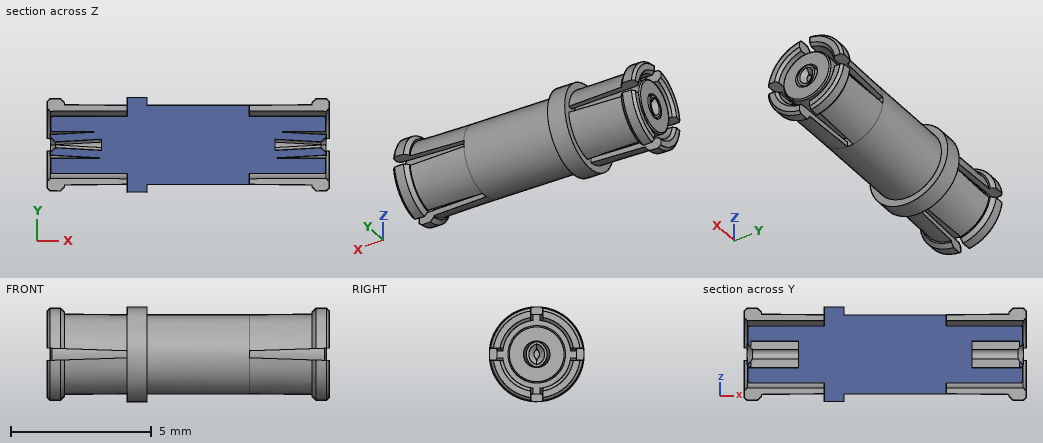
import cadquery as cq
import math

length = 10.03

body_radius = 1.41
flange_diameter = 3.38
flange_radius = flange_diameter / 2
flange_start = 2.84
flange_width = 0.71

collet_length = flange_start
collet_bore_radius = 1.21
collet_mouth_chamfer = 0.11
flared_radius = 1.44
bead_radius = 1.65
bead_end = 0.47
bead_shoulder = 0.15
bead_tip_chamfer = 0.1
slot_count = 4
slot_tip_width = 0.44
slot_root_width = 0.25

core_radius = 1.02
core_recess = 0.12
core_chamfer = 0.05

socket_radius = 0.47
socket_depth = 1.81
prong_bore_radius = 0.19
prong_mouth_radius = 0.38
prong_mouth_depth = 0.18
prong_pinch = 0.1
prong_tip_overlap = 0.005
prong_root_overlap = 0.1


def cylinder(x_start, x_end, radius):
    """Solid cylinder around the X axis."""
    return cq.Workplane("YZ", origin=(x_start, 0, 0)).circle(radius).extrude(x_end - x_start)


def revolve_about_x(points):
    """Ring made by turning an (x, radius) outline around the X axis."""
    return cq.Workplane("XY").polyline(points).close().revolve(360, (0, 0, 0), (1, 0, 0))


def collet_slots():
    """Radial slots that narrow from the tip to the root of the collet."""
    slot = (
        cq.Workplane("XY")
        .polyline([
            (0, -slot_tip_width / 2),
            (collet_length, -slot_root_width / 2),
            (collet_length, slot_root_width / 2),
            (0, slot_tip_width / 2),
        ])
        .close()
        .extrude(flange_radius)
    )
    slots = cq.Workplane("XY")
    for index in range(slot_count):
        slots = slots.add(slot.rotate((0, 0, 0), (1, 0, 0), index * 360 / slot_count))
    return slots.combine()


def collet():
    """Flared, beaded and slotted collet at the -X end."""
    shoulder_end = bead_end + bead_shoulder
    ring = revolve_about_x([
        (0, collet_bore_radius + collet_mouth_chamfer),
        (0, bead_radius - bead_tip_chamfer),
        (bead_tip_chamfer, bead_radius),
        (bead_end, bead_radius),
        (shoulder_end, bead_radius - bead_shoulder),
        (shoulder_end, flared_radius),
        (collet_length, body_radius),
        (collet_length, collet_bore_radius),
        (collet_mouth_chamfer, collet_bore_radius),
    ])
    return ring.cut(collet_slots())


def prong():
    """The +Y prong of the socket contact, tilted toward the axis about its root."""
    root = core_recess + socket_depth
    half_slot = prong_pinch - prong_tip_overlap
    tube = revolve_about_x([
        (core_recess, prong_mouth_radius),
        (core_recess, socket_radius),
        (root + prong_root_overlap, socket_radius),
        (root + prong_root_overlap, prong_bore_radius),
        (core_recess + prong_mouth_depth, prong_bore_radius),
    ])
    keep = cq.Workplane("XY").box(length, length, length).translate((0, length / 2 + half_slot, 0))
    tilt = math.degrees(math.asin(prong_pinch / socket_depth))
    return tube.intersect(keep).rotate((root, 0, 0), (root, 0, 1), tilt)


def core_end():
    """The -X half of the core with its socket and both prongs."""
    half = cylinder(core_recess, length / 2, core_radius).faces("<X").chamfer(core_chamfer)
    half = half.cut(cylinder(core_recess, core_recess + socket_depth, socket_radius))
    upper = prong()
    return half.union(upper).union(upper.mirror("XZ"))


sleeve = cylinder(collet_length, length - collet_length, body_radius)
flange = cylinder(flange_start, flange_start + flange_width, flange_radius)
end = core_end().union(collet())
other_end = end.mirror("YZ", (length / 2, 0, 0))

result = sleeve.union(flange).union(end).union(other_end)